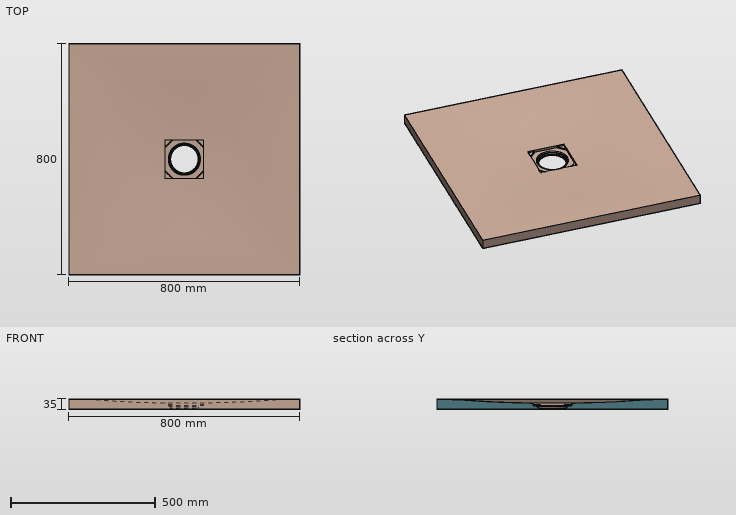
import cadquery as cq

side = 800.0
height = 35.0
half_side = side / 2

fall = 15.0
edge_flattening = 0.6
grid_steps = 20

recess_side = 133.0
floor_height = 13.0
pad_height = 3.0
pad_top_leg = 24.0
pad_slope_width = 2.0

hole_diameter = 95.0
seat_diameter = 111.0
ledge_diameter = 106.0
throat_diameter = 100.0
seat_depth = 4.0
throat_depth = 4.0
ledge_height = floor_height - seat_depth
lip_height = ledge_height - throat_depth


def dish_profile(position):
    """Relative depth across the tray: 1 at the centre and 0 at the edge."""
    square = (position / half_side) ** 2
    return (1 - square) * (1 - edge_flattening * square)


def dished_tray():
    """Square slab whose top face is the smooth dished surface."""
    places = [side * step / grid_steps - half_side for step in range(grid_steps + 1)]
    points = [
        [cq.Vector(x, y, height - fall * dish_profile(x) * dish_profile(y)) for y in places]
        for x in places
    ]
    top_face = cq.Face.makeSplineApprox(points, tol=1e-4, minDeg=3, maxDeg=6)
    column = cq.Solid.extrudeLinear(top_face, cq.Vector(0, 0, -2 * height))
    above_base = cq.Workplane("XY").rect(2 * side, 2 * side).extrude(2 * height)
    return above_base.intersect(cq.Workplane(obj=column))


def cover_recess():
    """Square recess with a flat floor, open at the top."""
    return (
        cq.Workplane("XY").workplane(offset=floor_height)
        .rect(recess_side, recess_side).extrude(height)
    )


def triangle(leg):
    """Right triangle in the -X, -Y corner of the recess."""
    corner = -recess_side / 2
    return [(corner, corner), (corner + leg, corner), (corner, corner + leg)]


def corner_pads():
    """Four raised triangular pads, each with a sloping inner face."""
    pad = (
        cq.Workplane("XY").workplane(offset=floor_height)
        .polyline(triangle(pad_top_leg + pad_slope_width)).close()
        .workplane(offset=pad_height)
        .polyline(triangle(pad_top_leg)).close()
        .loft(ruled=True)
    )
    pads = pad
    for quarter in range(1, 4):
        pads = pads.union(pad.rotate((0, 0, 0), (0, 0, 1), 90 * quarter))
    return pads


def funnel(bottom_height, bottom_diameter, top_height, top_diameter):
    """Upright cone frustum on the drain axis."""
    return (
        cq.Workplane("XY").workplane(offset=bottom_height)
        .circle(bottom_diameter / 2)
        .workplane(offset=top_height - bottom_height).circle(top_diameter / 2)
        .loft(ruled=True)
    )


def drain():
    """Through hole below a sloping throat, a flat ledge and a sloping seat."""
    hole = cq.Workplane("XY").circle(hole_diameter / 2).extrude(height)
    throat = funnel(lip_height, hole_diameter, ledge_height, throat_diameter)
    seat = funnel(ledge_height, ledge_diameter, floor_height, seat_diameter)
    return hole.union(throat).union(seat)


result = dished_tray().cut(cover_recess()).union(corner_pads()).cut(drain())